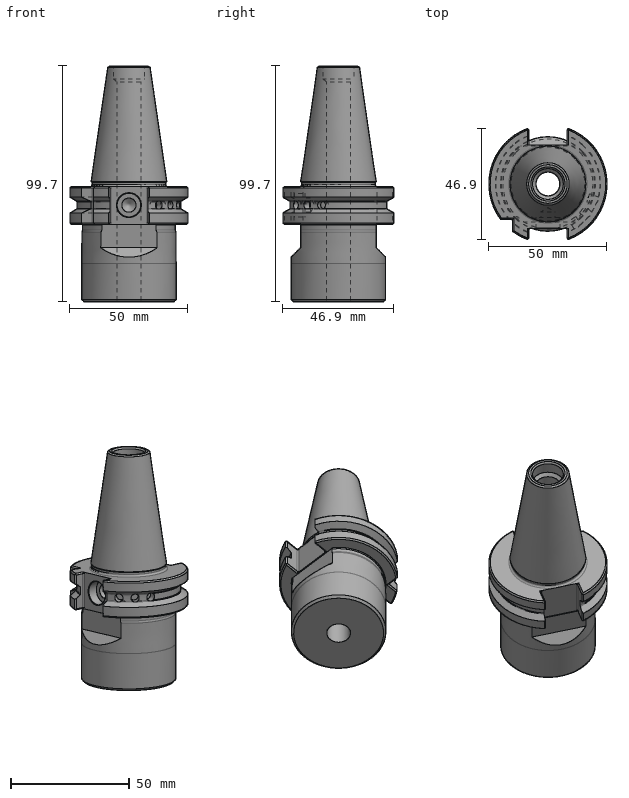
import cadquery as cq
import math


GAUGE_DIA = 31.75
TAPER_RATE = 7 / 24
TAPER_LENGTH = 47.75
SMALL_END_DIA = GAUGE_DIA - TAPER_LENGTH * TAPER_RATE
SMALL_END_BEVEL_WIDTH = 0.75
SMALL_END_BEVEL_HEIGHT = 0.5
TAPER_OVERRUN = 1.0
RELIEF_DIA = 31.2
RELIEF_FILLET = 0.9

FLANGE_DIA = 50.0
FLANGE_TOP = -3.2
FLANGE_THICKNESS = 15.9
FLANGE_BOTTOM = FLANGE_TOP - FLANGE_THICKNESS
FLANGE_CHAMFER = 0.6
GROOVE_Z = -11.0
GROOVE_DIA = 44.0
GROOVE_FLOOR_WIDTH = 3.2
GROOVE_FLANK_ANGLE = 30.0
GROOVE_FILLET = 0.4

SLOT_WIDTH = 16.1
SLOT_FLOOR_FRONT = 18.8
SLOT_FLOOR_BACK = 16.4
SLOT_CORNER_RADIUS = 0.5
SLOT_EDGE_CHAMFER = 0.6

NOTCH_X = 15.0
NOTCH_Y = 15.0
NOTCH_CORNER_RADIUS = 0.6
NOTCH_EDGE_CHAMFER = 0.6

BODY_DIA = 40.0
BODY_BOTTOM = -51.9
BODY_CHAMFER = 1.0
BODY_TOP_DIA = 39.8
BODY_TAPER_START = -35.6
NECK_DIA = 39.3
NECK_FILLET = 0.4
NECK_LENGTH = 2.4
NECK_BEVEL_HEIGHT = 0.9
FLAT_SPAN = 32.0
FLAT_BOTTOM = -29.0

BORE_DIA = 10.0
COUNTERBORE_DIA = 13.0
COUNTERBORE_DEPTH = 5.5
BORE_LEAD_IN = 1.2
MOUTH_DIA = 14.4
MOUTH_DEPTH = (MOUTH_DIA - COUNTERBORE_DIA) / 2

SIDE_HOLE_DIA = 10.0
SIDE_HOLE_DEPTH = 4.6
SIDE_HOLE_MOUTH_DIA = 10.5
SIDE_DRILL_DIA = 6.0
SIDE_DRILL_DEPTH = 7.0
DRILL_POINT_ANGLE = 118.0

BALANCE_DIA = 3.5
BALANCE_DEPTH = 4.0
BALANCE_ANGLES = (35.0, 53.0, 71.0)

CUT_REACH = FLANGE_DIA


def make_revolved_body():
    """Outer turned profile: shank, flange, neck and body."""
    taper_r = (GAUGE_DIA + TAPER_OVERRUN * TAPER_RATE) / 2
    relief_r = RELIEF_DIA / 2
    small_r = SMALL_END_DIA / 2
    flange_r = FLANGE_DIA / 2
    groove_r = GROOVE_DIA / 2
    body_r = BODY_DIA / 2
    neck_r = NECK_DIA / 2
    bevel_drop_r = SMALL_END_BEVEL_HEIGHT * TAPER_RATE / 2
    floor_half = GROOVE_FLOOR_WIDTH / 2
    flank = math.radians(GROOVE_FLANK_ANGLE)
    flank_rise = (flange_r - groove_r) * math.tan(flank)
    mouth_half = floor_half + flank_rise
    turn = math.pi / 2 - flank
    flat_half = floor_half - GROOVE_FILLET * math.tan(turn / 2)
    flank_end_r = groove_r + GROOVE_FILLET * (1 - math.cos(turn))
    flank_end_half = flat_half + GROOVE_FILLET * math.sin(turn)
    arc_mid_r = groove_r + GROOVE_FILLET * (1 - math.cos(turn / 2))
    arc_mid_half = flat_half + GROOVE_FILLET * math.sin(turn / 2)
    neck_end = FLANGE_BOTTOM - NECK_LENGTH
    arc_middle = 1 - math.cos(math.pi / 4)
    fillet_mid = RELIEF_FILLET * arc_middle
    neck_fillet_mid = NECK_FILLET * arc_middle

    profile = (
        cq.Workplane("XZ")
        .moveTo(0, TAPER_LENGTH)
        .lineTo(small_r - SMALL_END_BEVEL_WIDTH, TAPER_LENGTH)
        .lineTo(small_r + bevel_drop_r, TAPER_LENGTH - SMALL_END_BEVEL_HEIGHT)
        .lineTo(taper_r, -TAPER_OVERRUN)
        .lineTo(relief_r, -TAPER_OVERRUN - (taper_r - relief_r))
        .lineTo(relief_r, FLANGE_TOP + RELIEF_FILLET)
        .threePointArc(
            (relief_r + fillet_mid, FLANGE_TOP + fillet_mid),
            (relief_r + RELIEF_FILLET, FLANGE_TOP),
        )
        .lineTo(flange_r - FLANGE_CHAMFER, FLANGE_TOP)
        .lineTo(flange_r, FLANGE_TOP - FLANGE_CHAMFER)
        .lineTo(flange_r, GROOVE_Z + mouth_half)
        .lineTo(flank_end_r, GROOVE_Z + flank_end_half)
        .threePointArc((arc_mid_r, GROOVE_Z + arc_mid_half), (groove_r, GROOVE_Z + flat_half))
        .lineTo(groove_r, GROOVE_Z - flat_half)
        .threePointArc((arc_mid_r, GROOVE_Z - arc_mid_half), (flank_end_r, GROOVE_Z - flank_end_half))
        .lineTo(flange_r, GROOVE_Z - mouth_half)
        .lineTo(flange_r, FLANGE_BOTTOM + FLANGE_CHAMFER)
        .lineTo(flange_r - FLANGE_CHAMFER, FLANGE_BOTTOM)
        .lineTo(neck_r + NECK_FILLET, FLANGE_BOTTOM)
        .threePointArc(
            (neck_r + neck_fillet_mid, FLANGE_BOTTOM - neck_fillet_mid),
            (neck_r, FLANGE_BOTTOM - NECK_FILLET),
        )
        .lineTo(neck_r, neck_end)
        .lineTo(BODY_TOP_DIA / 2, neck_end - NECK_BEVEL_HEIGHT)
        .lineTo(body_r, BODY_TAPER_START)
        .lineTo(body_r, BODY_BOTTOM + BODY_CHAMFER)
        .lineTo(body_r - BODY_CHAMFER, BODY_BOTTOM)
        .lineTo(0, BODY_BOTTOM)
        .close()
    )
    return profile.revolve(360, (0, 0, 0), (0, 1, 0))


def make_slot_cutter(floor_y, side):
    """Drive slot on one side (+1 = +Y, -1 = -Y) with bevelled wall edges."""
    half = SLOT_WIDTH / 2
    wide_half = half + SLOT_EDGE_CHAMFER
    length = CUT_REACH - floor_y
    slot = (
        cq.Workplane("XY")
        .workplane(offset=FLANGE_BOTTOM)
        .center(0, side * (floor_y + length / 2))
        .rect(SLOT_WIDTH, length)
        .extrude(FLANGE_THICKNESS)
        .edges("|Z")
        .fillet(SLOT_CORNER_RADIUS)
    )
    lower_bevel_top = FLANGE_BOTTOM + SLOT_EDGE_CHAMFER
    upper_bevel_bottom = FLANGE_TOP - SLOT_EDGE_CHAMFER
    for face_z, inner_z in ((FLANGE_TOP, upper_bevel_bottom), (FLANGE_BOTTOM, lower_bevel_top)):
        bevel = (
            cq.Workplane("XZ", origin=(0, side * floor_y, 0))
            .polyline([(-wide_half, face_z), (wide_half, face_z), (half, inner_z), (-half, inner_z)])
            .close()
            .extrude(-side * length)
        )
        slot = slot.union(bevel)
    rim_y = math.sqrt((FLANGE_DIA / 2) ** 2 - wide_half ** 2)
    flare = CUT_REACH - rim_y
    rim_bevel = (
        cq.Workplane("XY")
        .workplane(offset=FLANGE_BOTTOM)
        .polyline([
            (-half, side * (rim_y - SLOT_EDGE_CHAMFER)),
            (half, side * (rim_y - SLOT_EDGE_CHAMFER)),
            (wide_half + flare, side * CUT_REACH),
            (-wide_half - flare, side * CUT_REACH),
        ])
        .close()
        .extrude(FLANGE_THICKNESS)
    )
    return slot.union(rim_bevel)


def make_notch_cutter():
    """Corner notch through the flange, with its upper and lower edges bevelled."""
    size = CUT_REACH - NOTCH_X
    far_corner = (-NOTCH_X - size, -NOTCH_Y - size)

    def corner_square(z, growth):
        side = size + growth
        center = (far_corner[0] + side / 2, far_corner[1] + side / 2)
        return cq.Workplane("XY").workplane(offset=z).center(*center).rect(side, side)

    notch = corner_square(FLANGE_BOTTOM, 0).extrude(FLANGE_THICKNESS)
    notch = notch.edges("|Z").fillet(NOTCH_CORNER_RADIUS)
    for face_z, inward in ((FLANGE_TOP, -1), (FLANGE_BOTTOM, 1)):
        face_square = corner_square(face_z, NOTCH_EDGE_CHAMFER).wires().val()
        inner_square = corner_square(face_z + inward * NOTCH_EDGE_CHAMFER, 0).wires().val()
        notch = notch.union(cq.Workplane(cq.Solid.makeLoft([face_square, inner_square], True)))
    return notch


def make_flat_cutter(side):
    """Wrench flat below the flange, ending in a 45 degree run-out."""
    flat_y = FLAT_SPAN / 2
    reach = CUT_REACH - flat_y
    return (
        cq.Workplane("YZ", origin=(-CUT_REACH, 0, 0))
        .polyline([
            (side * flat_y, FLANGE_BOTTOM),
            (side * flat_y, FLAT_BOTTOM),
            (side * CUT_REACH, FLAT_BOTTOM - reach),
            (side * CUT_REACH, FLANGE_BOTTOM),
        ])
        .close()
        .extrude(2 * CUT_REACH)
    )


def make_bore_cutter():
    """Through bore with a counterbore and bevelled mouth at the small end."""
    counterbore_floor = TAPER_LENGTH - COUNTERBORE_DEPTH
    return (
        cq.Workplane("XZ")
        .polyline([
            (0, TAPER_LENGTH),
            (MOUTH_DIA / 2, TAPER_LENGTH),
            (COUNTERBORE_DIA / 2, TAPER_LENGTH - MOUTH_DEPTH),
            (COUNTERBORE_DIA / 2, counterbore_floor),
            (BORE_DIA / 2, counterbore_floor - BORE_LEAD_IN),
            (BORE_DIA / 2, BODY_BOTTOM),
            (0, BODY_BOTTOM),
        ])
        .close()
        .revolve(360, (0, 0, 0), (0, 1, 0))
    )


def make_side_hole_cutter():
    """Stepped blind hole drilled along +Y from the front slot floor."""
    mouth_depth = (SIDE_HOLE_MOUTH_DIA - SIDE_HOLE_DIA) / 2
    point_height = SIDE_DRILL_DIA / 2 / math.tan(math.radians(DRILL_POINT_ANGLE / 2))
    profile = (
        cq.Workplane("XY")
        .polyline([
            (0, 0),
            (SIDE_HOLE_MOUTH_DIA / 2, 0),
            (SIDE_HOLE_DIA / 2, mouth_depth),
            (SIDE_HOLE_DIA / 2, SIDE_HOLE_DEPTH),
            (SIDE_DRILL_DIA / 2, SIDE_HOLE_DEPTH),
            (SIDE_DRILL_DIA / 2, SIDE_DRILL_DEPTH),
            (0, SIDE_DRILL_DEPTH + point_height),
        ])
        .close()
    )
    return profile.revolve(360, (0, 0, 0), (0, 1, 0)).translate((0, -SLOT_FLOOR_FRONT, GROOVE_Z))


def make_balance_hole_cutter(angle):
    """Radial blind hole in the groove floor."""
    inner_r = GROOVE_DIA / 2 - BALANCE_DEPTH
    return (
        cq.Workplane("XZ", origin=(0, -inner_r, GROOVE_Z))
        .circle(BALANCE_DIA / 2)
        .extrude(CUT_REACH - inner_r)
        .rotate((0, 0, 0), (0, 0, 1), angle)
    )


result = make_revolved_body()
result = result.cut(make_slot_cutter(SLOT_FLOOR_FRONT, -1))
result = result.cut(make_slot_cutter(SLOT_FLOOR_BACK, 1))
result = result.cut(make_notch_cutter())
for flat_side in (-1, 1):
    result = result.cut(make_flat_cutter(flat_side))
result = result.cut(make_bore_cutter())
result = result.cut(make_side_hole_cutter())
for balance_angle in BALANCE_ANGLES:
    result = result.cut(make_balance_hole_cutter(balance_angle))